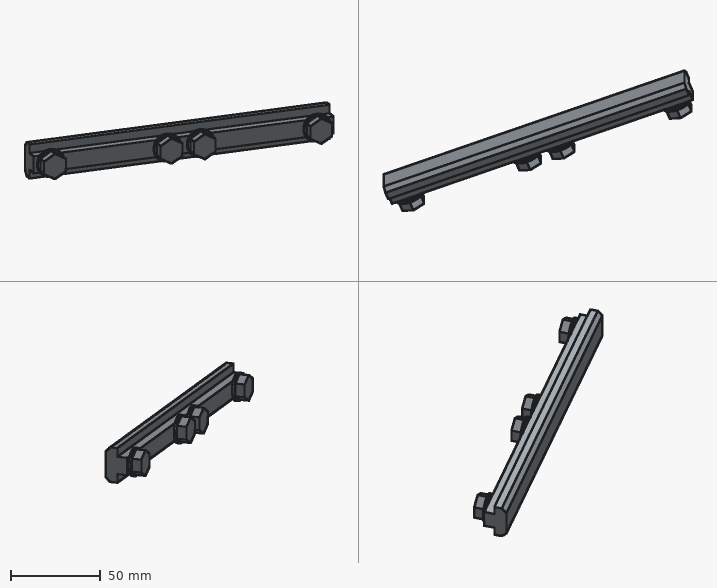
import cadquery as cq
import math

rail_length = 180.0
rail_width = 20.2
head_depth = 7.0
head_chamfer = 2.7
neck_width = 10.0
rail_depth = 13.0

overall_depth = 20.0
flange_diameter = 16.0
flange_thickness = 1.5
hex_across_flats = 13.0
outer_screw_end_distance = 10.0
inner_screw_spacing = 20.0

outer_screw_y = rail_length / 2 - outer_screw_end_distance
inner_screw_y = inner_screw_spacing / 2
screw_positions = [-outer_screw_y, -inner_screw_y, inner_screw_y, outer_screw_y]


def make_rail():
    half_width = rail_width / 2
    half_neck = neck_width / 2
    upper_half = [
        (0, 0),
        (0, half_width - head_chamfer),
        (head_chamfer, half_width),
        (head_depth, half_width),
        (head_depth, half_neck),
        (rail_depth, half_neck),
        (rail_depth, 0),
    ]
    return (
        cq.Workplane("XZ")
        .polyline(upper_half)
        .mirrorX()
        .extrude(rail_length / 2, both=True)
    )


def make_screw_head(y):
    seat = cq.Workplane("YZ", origin=(rail_depth, y, 0))
    flange = seat.circle(flange_diameter / 2).extrude(flange_thickness)
    across_corners = hex_across_flats / math.cos(math.pi / 6)
    hexagon = (
        seat.transformed(rotate=(0, 0, 90))
        .polygon(6, across_corners)
        .extrude(overall_depth - rail_depth)
    )
    return flange.union(hexagon)


result = make_rail()
for screw_y in screw_positions:
    result = result.union(make_screw_head(screw_y))